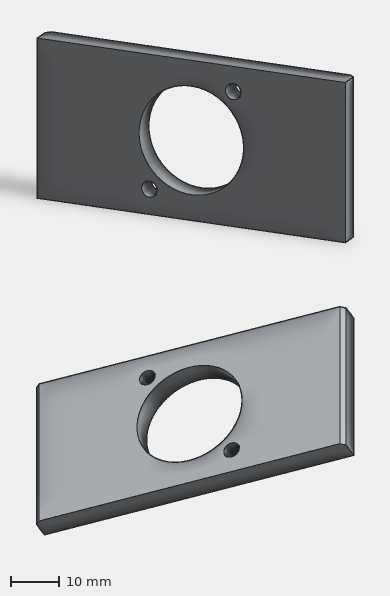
import cadquery as cq

width = 70.0
thickness = 5.0
height = 35.0
edge_chamfer = 1.0

bore_diameter = 23.7
screw_hole_diameter = 3.5
screw_offset_x = 9.5
screw_offset_z = 12.0

plate = cq.Workplane("XY").box(width, thickness, height)

plate = plate.faces(">Y").edges("|Z").chamfer(edge_chamfer)

plate = plate.faces("<Y").workplane(centerOption="CenterOfBoundBox").hole(bore_diameter)

screw_positions = [(side * screw_offset_x, side * screw_offset_z) for side in (-1, 1)]
result = (
    plate.faces("<Y")
    .workplane(centerOption="CenterOfBoundBox")
    .pushPoints(screw_positions)
    .hole(screw_hole_diameter)
)